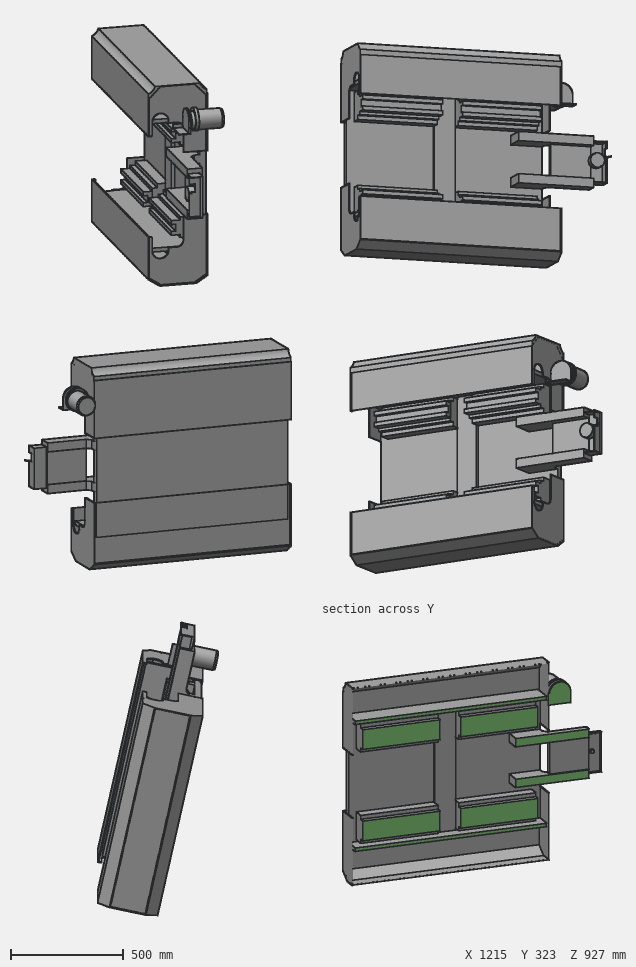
import cadquery as cq
total_length = 1215.0
total_depth = 323.0
height = 927.0
housing_length = 944.0
housing_depth = 273.0
sheet = 5.0
thin_sheet = 4.0

front_rim_z = 231.0
end_plate_top_z = 316.0
end_plate_ledge_y = 162.0
floor_top_z = 175.0
floor_thickness = 18.0
ledge_fillet = 30.0
tab_width = 18.0
tab_chamfer = 5.0
notch_radius = 38.0
notch_z = 165.0

tray_chamfer_y = 53.0
tray_chamfer_z = 34.0
hood_corner_y = 30.0
hood_corner_z = 33.0
hood_corner_sag = 4.0
inner_corner = 51.0
back_cover_margin = 51.0
hood_back_y = housing_depth - thin_sheet

back_plate_x0 = 15.0
back_plate_x1 = 932.0
back_plate_y0 = 240.0
bar_x0 = 422.0
bar_x1 = 520.0
bar_thickness = 17.0

left_rail_x0 = 51.0
right_rail_x1 = 891.0
rail_z = 249.0
rail_base_y = 186.0
rail_base_half = 66.0
rail_step_y = 162.0
rail_step_half = 47.0
rail_channel_y = 120.0
rail_channel_half = 34.0
channel_floor_y = 140.0
channel_half = 16.0
left_channel_overhang = 4.0

arm_x0 = 784.0
arm_x1 = 1136.0
arm_y0 = 126.0
arm_y1 = 196.0
arm_shoulder_y = 215.0
arm_height = 41.0
arm_spacing = 191.0
carriage_z = 475.0
link_x0 = 949.0
link_y0 = 168.0
link_thickness = 24.0
bracket_x1 = 1196.0
bracket_height = 188.0
bracket_back_y0 = 170.0
bracket_back_y1 = 181.0
bracket_front_y = 119.0
slot_z0 = 501.0
slot_z1 = 537.0
slot_floor_y = 147.0
tongue_root_z = 495.0
tongue_tip_z = 501.0
tongue_width = 6.0

knob_x = 1152.0
knob_z = 482.0
knob_radius = 33.0
knob_y0 = 120.0
knob_y1 = 151.0
knob_stem_radius = 10.0

motor_radius = 45.0
motor_x = 1000.0
motor_z = 775.0
motor_rim_y = 10.0
motor_rim_radial = 5.0
flange_y0 = 191.0
flange_y1 = 207.0
nose_y0 = 176.0
nose_radius = 35.0
nose_root_radius = 41.0
spindle_radius = 7.0
mount_radius = 52.0
mount_x = housing_length + mount_radius
mount_z = 778.0
mount_base_z = 725.0
mount_plate_y0 = 158.0
mount_plate_y1 = 165.0
foot_y0 = 113.0
foot_lip_height = 21.0


def box(x0, x1, y0, y1, z0, z1):
    return cq.Workplane("XY").box(x1 - x0, y1 - y0, z1 - z0, centered=False).translate((x0, y0, z0))


def cylinder_y(x, z, radius, y0, y1):
    return cq.Workplane("XZ", origin=(x, y0, z)).circle(radius).extrude(y0 - y1)


def to_top(shape):
    """Mirror a part of the lower half into the upper half."""
    return shape.mirror("XY", (0, 0, height / 2))


def ledge_void():
    """Opening cut right through the length: above the ledge and behind the front tabs."""
    return (
        cq.Workplane("YZ")
        .moveTo(0, height)
        .lineTo(0, front_rim_z)
        .lineTo(tab_width - tab_chamfer, front_rim_z)
        .lineTo(tab_width, front_rim_z - tab_chamfer)
        .lineTo(tab_width, floor_top_z)
        .lineTo(end_plate_ledge_y - ledge_fillet, floor_top_z)
        .radiusArc((end_plate_ledge_y, floor_top_z + ledge_fillet), -ledge_fillet)
        .lineTo(end_plate_ledge_y, height)
        .close()
        .extrude(housing_length)
    )


def notch_void():
    """Round-bottomed notch in both end plates, opening through the ledge beside the front tab."""
    notch_y = tab_width + notch_radius
    round_end = cq.Workplane("YZ").center(notch_y, notch_z).circle(notch_radius).extrude(housing_length)
    mouth = box(0, housing_length, tab_width, tab_width + 2 * notch_radius, notch_z, floor_top_z)
    return round_end.union(mouth)


def hollow_half(blank, back_y, corner):
    """Thin-walled half housing with end plates, cut from a solid blank whose base is at z = 0."""
    inner_x1 = housing_length - sheet
    cavity = box(sheet, inner_x1, sheet, back_y - sheet, sheet, height)
    cavity = cavity.edges("|X and <Z").chamfer(*corner)
    floor_z0 = floor_top_z - floor_thickness
    floor = box(back_plate_x0, back_plate_x1, tab_width, back_plate_y0, floor_z0, floor_top_z)
    return blank.cut(cavity).cut(ledge_void()).cut(notch_void()).union(floor)


def make_tray():
    blank = box(0, housing_length, 0, housing_depth, 0, end_plate_top_z)
    corner = (tray_chamfer_z, tray_chamfer_y)
    blank = blank.edges("|X and <Z").chamfer(*corner)
    return hollow_half(blank, housing_depth, corner)


def make_hood():
    """Hood built base-down like the tray, with hollow-curved outer corners, then turned over."""
    mid_y = hood_corner_y / 2 + hood_corner_sag
    mid_z = hood_corner_z / 2 + hood_corner_sag
    blank = (
        cq.Workplane("YZ")
        .moveTo(0, end_plate_top_z)
        .lineTo(0, hood_corner_z)
        .threePointArc((mid_y, mid_z), (hood_corner_y, 0))
        .lineTo(hood_back_y - hood_corner_y, 0)
        .threePointArc((hood_back_y - mid_y, mid_z), (hood_back_y, hood_corner_z))
        .lineTo(hood_back_y, end_plate_top_z)
        .close()
        .extrude(housing_length)
    )
    back_cover = box(0, housing_length, hood_back_y, housing_depth, back_cover_margin, end_plate_top_z)
    hood = hollow_half(blank, hood_back_y, (inner_corner, inner_corner))
    return to_top(hood.union(back_cover))


def make_back():
    z0 = floor_top_z - floor_thickness
    plate = box(back_plate_x0, back_plate_x1, back_plate_y0, hood_back_y, z0, height - z0)
    bar = box(bar_x0, bar_x1, back_plate_y0 - bar_thickness, back_plate_y0, z0, height - z0)
    return plate.union(bar)


def make_rail(x0, x1, channel_x1):
    """Stepped rail with a grooved front channel that may run past the steps behind it."""

    def step(end_x, y0, y1, half):
        return box(x0, end_x, y0, y1, rail_z - half, rail_z + half)

    rail = step(x1, rail_base_y, back_plate_y0, rail_base_half)
    rail = rail.union(step(x1, rail_step_y, rail_base_y, rail_step_half))
    rail = rail.union(step(channel_x1, rail_channel_y, rail_step_y, rail_channel_half))
    return rail.cut(step(channel_x1, rail_channel_y, channel_floor_y, channel_half))


def make_arm(z):
    """Arm reaching from the back plate, stepped forward where it clears the plate's edge."""
    shoulder_x = back_plate_x1 + arm_shoulder_y - arm_y1
    outline = [
        (arm_x0, arm_y0),
        (arm_x1, arm_y0),
        (arm_x1, arm_y1),
        (shoulder_x, arm_y1),
        (back_plate_x1, arm_shoulder_y),
        (back_plate_x1, back_plate_y0),
        (arm_x0, back_plate_y0),
    ]
    base = cq.Workplane("XY", origin=(0, 0, z - arm_height / 2))
    return base.polyline(outline).close().extrude(arm_height)


def make_bracket():
    z0 = carriage_z - bracket_height / 2
    z1 = carriage_z + bracket_height / 2
    end_x = bracket_x1 - sheet
    bracket = box(arm_x1, bracket_x1, arm_y0, bracket_back_y1, z0, z1)
    bracket = bracket.cut(box(arm_x1, end_x, arm_y0, bracket_back_y0, z0 + sheet, z1 - sheet))
    end = box(end_x, bracket_x1, bracket_front_y, arm_y0, z0, z1)
    bracket = bracket.union(end)
    bracket = bracket.cut(box(end_x, bracket_x1, bracket_front_y, slot_floor_y, slot_z0, slot_z1))
    tongue = (
        cq.Workplane("XZ", origin=(0, bracket_front_y, 0))
        .moveTo(end_x, tongue_root_z)
        .lineTo(total_length, tongue_tip_z)
        .lineTo(total_length, tongue_tip_z + thin_sheet)
        .lineTo(end_x, tongue_root_z + thin_sheet)
        .close()
        .extrude(-tongue_width)
    )
    return bracket.union(tongue)


def make_carriage():
    gap = (arm_spacing - arm_height) / 2
    link_y1 = link_y0 + link_thickness
    carriage = box(link_x0, arm_x1, link_y0, link_y1, carriage_z - gap, carriage_z + gap)
    for side in (-1, 1):
        carriage = carriage.union(make_arm(carriage_z + side * arm_spacing / 2))
    knob = cylinder_y(knob_x, knob_z, knob_radius, knob_y0, knob_y1)
    stem = cylinder_y(knob_x, knob_z, knob_stem_radius, knob_y1, bracket_back_y0)
    return carriage.union(make_bracket()).union(knob).union(stem)


def make_motor_mount():
    """Upright plate with a round head, standing on a thin foot with a lip on the hood side."""
    x0 = mount_x - mount_radius
    x1 = mount_x + mount_radius
    plate = box(x0, x1, mount_plate_y0, mount_plate_y1, mount_base_z, mount_z)
    head = cylinder_y(mount_x, mount_z, mount_radius, mount_plate_y0, mount_plate_y1)
    foot = box(x0, x1, foot_y0, mount_plate_y0, mount_base_z, mount_base_z + thin_sheet)
    lip = box(x0, x0 + thin_sheet, foot_y0, mount_plate_y0, mount_base_z, mount_base_z + foot_lip_height)
    return plate.union(head).union(foot).union(lip)


def make_motor():
    rim_y = total_depth - motor_rim_y
    body = cylinder_y(motor_x, motor_z, motor_radius, flange_y1, rim_y)
    end_cap = (
        cq.Workplane("XZ", origin=(motor_x, rim_y, motor_z))
        .circle(motor_radius)
        .workplane(offset=-motor_rim_y)
        .circle(motor_radius - motor_rim_radial)
        .loft()
    )
    flange = cylinder_y(mount_x, mount_z, mount_radius, flange_y0, flange_y1)
    nose = (
        cq.Workplane("XZ", origin=(motor_x, nose_y0, motor_z))
        .circle(nose_radius)
        .workplane(offset=nose_y0 - flange_y0)
        .circle(nose_root_radius)
        .loft()
    )
    spindle = cylinder_y(motor_x, motor_z, spindle_radius, mount_plate_y1, nose_y0)
    return body.union(end_cap).union(flange).union(nose).union(spindle)


result = make_tray().union(make_hood()).union(make_back())
left_rail = make_rail(left_rail_x0, bar_x0, bar_x0 + left_channel_overhang)
right_rail = make_rail(bar_x1, right_rail_x1, right_rail_x1)
for rail in (left_rail, right_rail):
    result = result.union(rail).union(to_top(rail))
result = result.union(make_carriage()).union(make_motor_mount()).union(make_motor())